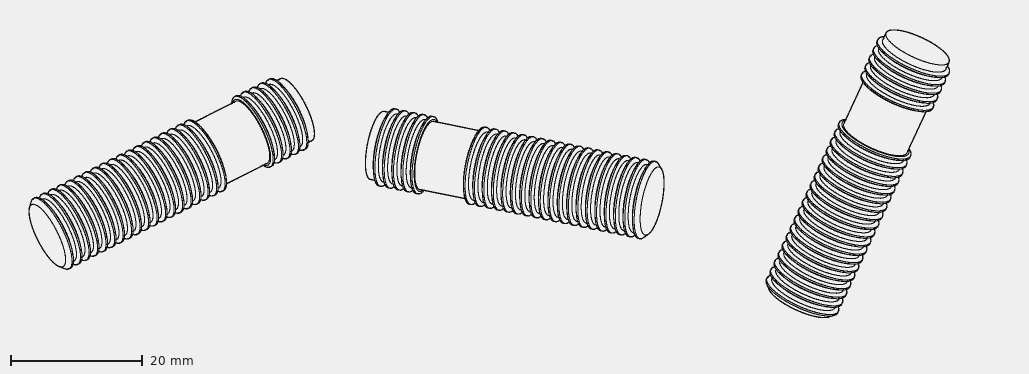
import cadquery as cq

length = 44.5
front_end = -length / 2
back_end = length / 2
crest_radius = 6.0
root_radius = 5.3

ridge_base = 0.85
ridge_crest = 0.25

front_ridge_count = 19
front_ridge_span = 27.37
chamfer = 0.7
first_front_ridge = front_end + chamfer + ridge_crest / 2
last_front_ridge = first_front_ridge + front_ridge_span

back_ridge_count = 5
back_ridge_span = 6.0
back_ridge_setback = 1.7
last_back_ridge = back_end - back_ridge_setback
first_back_ridge = last_back_ridge - back_ridge_span

band_setback = 8.0
band_length = 7.95
band_end = back_end - band_setback
band_start = band_end - band_length

window_diameter = 2.85
window_depth = 0.9
window_setback = 11.2
window_y = back_end - window_setback
window_count = 4

cap_radius = 4.9
cap_depth = 0.9


def cylinder_along_y(radius, start, end):
    """Solid cylinder about the Y axis between two Y positions."""
    return cq.Workplane("XZ", origin=(0, start, 0)).circle(radius).extrude(start - end)


def ridge_centres(first, last, count):
    """Evenly spaced Y positions from the first ridge to the last."""
    pitch = (last - first) / (count - 1)
    return [first + i * pitch for i in range(count)]


def barrel_outline():
    """Half outline in the XY plane, from the front axis point to the back one."""
    points = [(0, front_end), (crest_radius - chamfer, front_end)]
    centres = ridge_centres(first_front_ridge, last_front_ridge, front_ridge_count)
    centres += ridge_centres(first_back_ridge, last_back_ridge, back_ridge_count)
    for y in centres:
        if y != first_front_ridge:
            points.append((root_radius, y - ridge_base / 2))
        points.append((crest_radius, y - ridge_crest / 2))
        points.append((crest_radius, y + ridge_crest / 2))
        points.append((root_radius, y + ridge_base / 2))
    points += [(root_radius, back_end), (0, back_end)]
    return points


def window(angle):
    """Lens filling a round radial opening, its outer face following the barrel."""
    drill = (
        cq.Workplane("XY", origin=(0, window_y, root_radius - window_depth))
        .circle(window_diameter / 2)
        .extrude(2 * window_depth)
        .rotate((0, 0, 0), (0, 1, 0), angle)
    )
    return cylinder_along_y(root_radius, band_start, band_end).intersect(drill)


def band_trim():
    """Ring of material removed around the smooth band."""
    outer = cylinder_along_y(crest_radius, band_start, band_end)
    return outer.cut(cylinder_along_y(root_radius, band_start, band_end))


inserts = [window(i * 360 / window_count) for i in range(window_count)]
inserts.append(cylinder_along_y(cap_radius, front_end, front_end + cap_depth))

barrel = cq.Workplane("XY").polyline(barrel_outline()).close().revolve(360, (0, 0, 0), (0, 1, 0))
barrel = barrel.cut(band_trim())

for insert in inserts:
    barrel = barrel.cut(insert, clean=False).union(insert, clean=False)

result = barrel.solids()